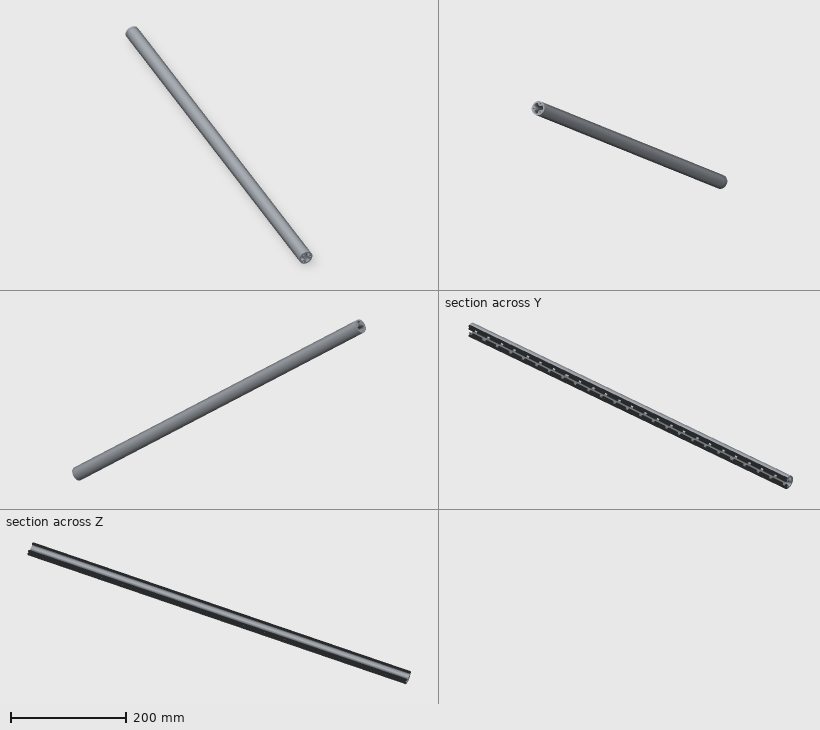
import cadquery as cq

length = 710.0
outer_diameter = 25.0
bore_diameter = 19.5

rib_count = 3
rib_diameter = 10.0
rib_pitch_radius = 9.75
rib_root_fillet = 2.0
hole_diameter = 2.6
hole_pitch_radius = 8.5


def round_bar(diameter):
    """Bar along X, centred on the axis of the tube."""
    return cq.Workplane("YZ").circle(diameter / 2).extrude(length)


def ring_of_bars(pitch_radius, diameter):
    """One bar per rib, equally spaced around the axis, the first one on the +Y side."""
    ring = cq.Workplane("YZ").polarArray(pitch_radius, 0, 360, rib_count)
    return ring.circle(diameter / 2).extrude(length)


def lobed_cavity():
    """Bore with the ribs left out of it, rounded where each rib meets the wall."""
    cavity = round_bar(bore_diameter).cut(ring_of_bars(rib_pitch_radius, rib_diameter))
    return cavity.edges("|X").fillet(rib_root_fillet)


def ribbed_tube():
    tube = round_bar(outer_diameter).cut(lobed_cavity())
    return tube.cut(ring_of_bars(hole_pitch_radius, hole_diameter))


result = ribbed_tube()